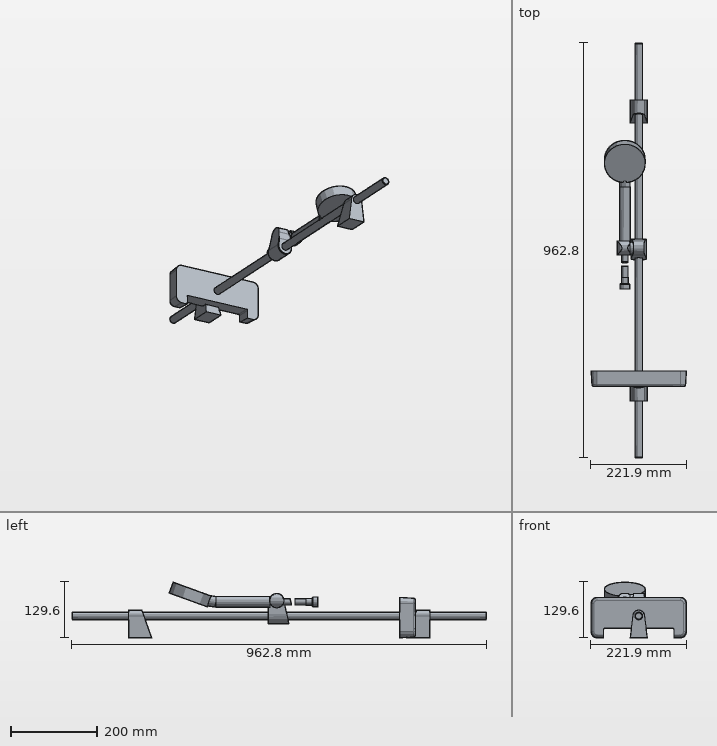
import cadquery as cq
import math


rail_length = 962.76
rail_diameter = 17.8
rail_height = 51.0
rail_end_diameter = 15.0

bracket_arch_radius = 13.6
bracket_foot_width = 40.0
bracket_top_length = 31.0
bracket_foot_length = 54.0
bracket_outer_end = 350.0

slider_radius = 18.4
slider_top_width = 24.0
slider_back = 26.5
slider_back_height = 69.0
slider_front = -22.6
slider_chamfer = 1.5
holder_diameter = 33.4
holder_y = 5.8
holder_height = 86.6
holder_end_radius = 18.0
holder_inner_end = -20.5
pivot_diameter = 28.0

shelf_width = 221.91
shelf_top = 94.4
shelf_back = -279.5
shelf_depth = 36.8
shelf_corner_radius = 14.5
shelf_draft = 2.3
shelf_front_fillet = 5.0
shelf_notch_width = 163.0
shelf_notch_height = 22.0
shelf_notch_radius = 2.5

shower_x = -32.4
shower_height = 83.6
handle_diameter = 25.5
handle_start = 22.0
handle_end = 147.0
stub_diameter = 15.0
stub_end = -29.0
stub_end_tilt = 14.0
neck_diameter = 25.0
neck_tilt = 10.0
neck_length = 30.0
head_diameter = 95.0
head_thickness = 27.0
head_tilt = 20.0
head_face_y = 202.0
overall_height = 129.62

sleeve_diameter = 15.0
collar_diameter = 16.1
nut_diameter = 22.95
connector_start = -36.5
sleeve_length = 26.0
collar_length = 14.0
nut_length = 13.0
nut_chamfer = 2.0


def cylinder_along_y(x, z, diameter, y_from, y_to):
    """Cylinder parallel to Y between two Y positions."""
    plane = cq.Plane(origin=(x, y_from, z), xDir=(1, 0, 0), normal=(0, 1, 0))
    return cq.Workplane(plane).circle(diameter / 2).extrude(y_to - y_from)


def make_bracket(end_y, inward):
    """Arched foot, upright at end_y and sloping on the side that `inward` (+1 or -1) points to."""
    half_foot = bracket_foot_width / 2
    arch = (
        cq.Workplane("XZ", origin=(0, end_y - bracket_foot_length, 0))
        .moveTo(-half_foot, 0)
        .lineTo(half_foot, 0)
        .lineTo(bracket_arch_radius, rail_height)
        .threePointArc((0, rail_height + bracket_arch_radius), (-bracket_arch_radius, rail_height))
        .close()
        .extrude(-2 * bracket_foot_length)
    )
    side = (
        cq.Workplane("YZ")
        .polyline([
            (end_y, 0),
            (end_y + inward * bracket_foot_length, 0),
            (end_y + inward * bracket_top_length, rail_height + bracket_arch_radius),
            (end_y, rail_height + bracket_arch_radius),
        ])
        .close()
        .extrude(bracket_foot_width, both=True)
    )
    return arch.intersect(side)


def make_slider():
    """Block around the rail that narrows upward into a cross cylinder, with the holder beside it."""
    holder_radius = holder_diameter / 2
    half_top = slider_top_width / 2
    slider_top = holder_height + holder_radius
    slider_bottom = rail_height - slider_radius
    rise = slider_top - rail_height
    tangent_angle = math.atan2(rise, half_top) - math.acos(slider_radius / math.hypot(half_top, rise))
    tangent_x = slider_radius * math.cos(tangent_angle)
    tangent_z = rail_height + slider_radius * math.sin(tangent_angle)
    width_profile = (
        cq.Workplane("XZ", origin=(0, slider_front, 0))
        .moveTo(-tangent_x, tangent_z)
        .threePointArc((0, slider_bottom), (tangent_x, tangent_z))
        .lineTo(half_top, slider_top)
        .lineTo(-half_top, slider_top)
        .close()
        .extrude(slider_front - slider_back)
        .faces("<Y or >Y")
        .chamfer(slider_chamfer)
    )
    side_profile = (
        cq.Workplane("YZ")
        .moveTo(slider_front, slider_bottom)
        .lineTo(holder_y - holder_radius, holder_height)
        .threePointArc((holder_y, slider_top), (holder_y + holder_radius, holder_height))
        .lineTo(slider_back, slider_back_height)
        .lineTo(slider_back, slider_bottom)
        .close()
        .extrude(slider_radius, both=True)
    )
    block = width_profile.intersect(side_profile)
    holder_side = cq.Workplane("YZ", origin=(holder_inner_end, holder_y, holder_height))
    arm = holder_side.circle(holder_radius).extrude(shower_x - holder_end_radius - holder_inner_end)
    pivot = holder_side.circle(pivot_diameter / 2).extrude(-holder_inner_end)
    end_round = cylinder_along_y(shower_x, holder_height, 2 * holder_end_radius, slider_front, slider_back)
    return block.union(arm.intersect(end_round)).union(pivot)


def make_head():
    """Round spray head, tilted so that its flat face leans back from the handle."""
    tilt = math.radians(head_tilt)
    face_z = overall_height - head_diameter / 2 * math.sin(tilt)
    plane = cq.Plane(
        origin=(shower_x, head_face_y, face_z),
        xDir=(1, 0, 0),
        normal=(0, -math.sin(tilt), math.cos(tilt)),
    )
    return cq.Workplane(plane).circle(head_diameter / 2).extrude(-head_thickness)


def make_hand_shower():
    """Handle with a tilted neck and head at one end and a slant-cut hose stub at the other."""
    handle = cylinder_along_y(shower_x, shower_height, handle_diameter, handle_start, handle_end)
    tilt = math.radians(neck_tilt)
    neck_plane = cq.Plane(
        origin=(shower_x, handle_end, shower_height),
        xDir=(1, 0, 0),
        normal=(0, math.cos(tilt), math.sin(tilt)),
    )
    neck = cq.Workplane(neck_plane).circle(neck_diameter / 2).extrude(neck_length)
    stub_radius = stub_diameter / 2
    stub_slant = stub_diameter * math.tan(math.radians(stub_end_tilt))
    stub_outline = (
        cq.Workplane("YZ", origin=(shower_x, 0, 0))
        .polyline([
            (handle_start, shower_height - stub_radius),
            (stub_end, shower_height - stub_radius),
            (stub_end + stub_slant, shower_height + stub_radius),
            (handle_start, shower_height + stub_radius),
        ])
        .close()
        .extrude(stub_radius, both=True)
    )
    stub = cylinder_along_y(shower_x, shower_height, stub_diameter, stub_end, handle_start)
    return handle.union(neck).union(make_head()).union(stub.intersect(stub_outline))


def make_wall_bar():
    """Rail with a bracket near each end and the slider, as one body."""
    rail = cylinder_along_y(0, rail_height, rail_diameter, -rail_length / 2, rail_length / 2)
    rail = rail.faces("<Y or >Y").chamfer((rail_diameter - rail_end_diameter) / 2)
    bar = rail.union(make_slider())
    for side in (1, -1):
        bar = bar.union(make_bracket(side * bracket_outer_end, -side))
    return bar


def make_shelf():
    """Drafted block with rounded corners and a wide notch in its lower side."""
    draft_angle = math.degrees(math.atan(shelf_draft / shelf_depth))
    shelf = (
        cq.Workplane("XZ", origin=(0, shelf_back, shelf_top / 2))
        .sketch()
        .rect(shelf_width, shelf_top)
        .vertices()
        .fillet(shelf_corner_radius)
        .finalize()
        .extrude(shelf_depth, taper=draft_angle)
        .faces("<Y")
        .edges()
        .fillet(shelf_front_fillet)
    )
    notch = (
        cq.Workplane("XY", origin=(0, shelf_back - shelf_depth / 2, 0))
        .box(shelf_notch_width, 2 * shelf_depth, 2 * shelf_notch_height)
        .edges("|Y and >Z")
        .fillet(shelf_notch_radius)
    )
    return shelf.cut(notch)


def make_connector():
    """Loose hose end: sleeve, collar and nut in line with the handle."""
    collar_start = connector_start - sleeve_length
    nut_start = collar_start - collar_length
    sleeve = cylinder_along_y(shower_x, shower_height, sleeve_diameter, collar_start, connector_start)
    collar = cylinder_along_y(shower_x, shower_height, collar_diameter, nut_start, collar_start)
    nut = cylinder_along_y(shower_x, shower_height, nut_diameter, nut_start - nut_length, nut_start)
    nut = nut.faces(">Y").chamfer(nut_chamfer)
    return sleeve.union(collar).union(nut)


hand_shower = make_hand_shower()
wall_bar = make_wall_bar().cut(hand_shower)
shelf = make_shelf().cut(wall_bar)
connector = make_connector()

result = cq.Compound.makeCompound([
    wall_bar.solids().val(),
    shelf.solids().val(),
    hand_shower.solids().val(),
    connector.solids().val(),
])